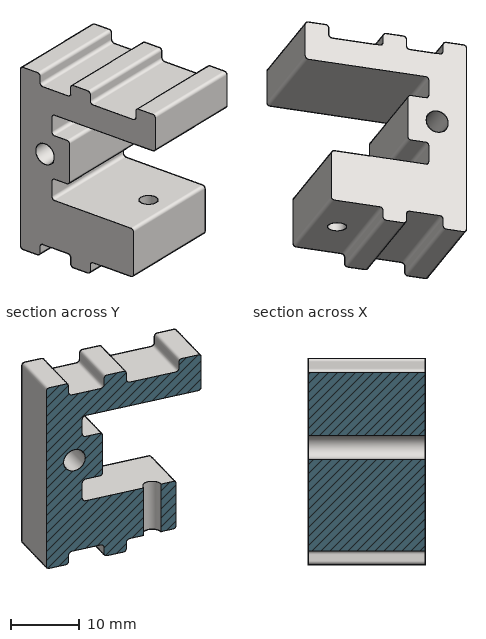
import cadquery as cq

length = 24.85
depth = 17.0
height = 30.0
corner_radius = 0.5

rib_height = 2.0
edge_rib_width = 3.63
middle_rib_start = 9.25
middle_rib_end = middle_rib_start + edge_rib_width

wall_thickness = 5.82
upper_arm_bottom = 24.0
lower_arm_length = 20.82
lower_arm_top = 9.95
boss_end = 9.05
boss_bottom = 13.47
boss_top = 20.6

cross_hole_diameter = 3.4
cross_hole_x = boss_end / 2
cross_hole_z = (boss_bottom + boss_top) / 2
arm_hole_diameter = 2.75
arm_hole_x = 16.98


def block(x_start, x_end, z_start, z_end):
    """Box over the full depth, between the given X and Z limits."""
    return cq.Workplane("XY").box(
        x_end - x_start, depth, z_end - z_start, centered=False
    ).translate((x_start, 0, z_start))


body = (
    block(0, wall_thickness, 0, height)
    .union(block(0, length, upper_arm_bottom, height))
    .union(block(0, lower_arm_length, 0, lower_arm_top))
    .union(block(0, boss_end, boss_bottom, boss_top))
)

top_groove_floor = height - rib_height
body = (
    body.cut(block(edge_rib_width, middle_rib_start, top_groove_floor, height))
    .cut(block(middle_rib_end, length - edge_rib_width, top_groove_floor, height))
    .cut(block(edge_rib_width, middle_rib_start, 0, rib_height))
    .cut(block(middle_rib_end, lower_arm_length, 0, rib_height))
)

body = body.edges("|Y").fillet(corner_radius)

cross_hole = (
    cq.Workplane("XZ")
    .center(cross_hole_x, cross_hole_z)
    .circle(cross_hole_diameter / 2)
    .extrude(-depth)
)

arm_hole = (
    cq.Workplane("XY")
    .center(arm_hole_x, depth / 2)
    .circle(arm_hole_diameter / 2)
    .extrude(lower_arm_top)
)

result = body.cut(cross_hole).cut(arm_hole)